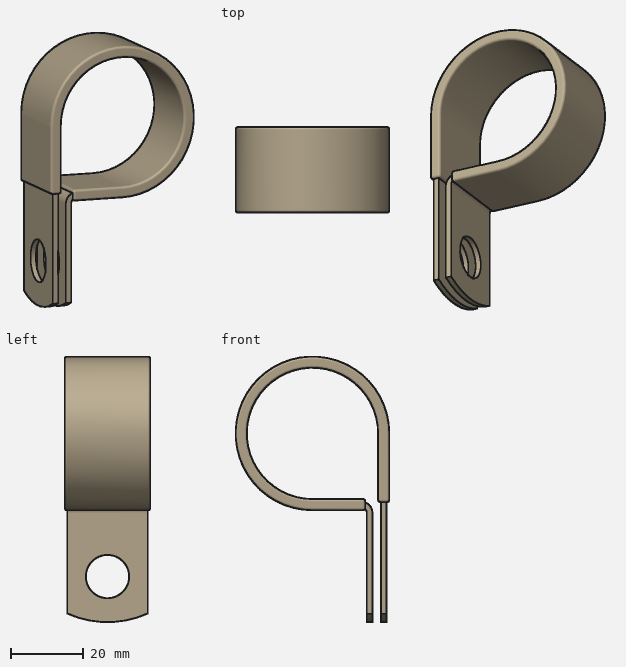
import cadquery as cq
import math

outer_diameter = 42.7
total_height = 73.75
cushion_width = 23.8
cushion_wall = 3.2
cushion_round = 0.75
cushion_side_end = 19.1
cushion_bottom_end = 14.7

strap_thickness = 1.6
strap_width = 22.4
bend_inner_radius = 1.5
leg_gap = 2.3

hole_diameter = 11.95
hole_height = 12.7
tip_rise = 2.4

outer_radius = outer_diameter / 2
inner_radius = outer_radius - cushion_wall
strap_outer_radius = outer_radius - (cushion_wall - strap_thickness) / 2
strap_inner_radius = strap_outer_radius - strap_thickness
bottom_z = outer_radius - total_height
leg_outer_x = strap_inner_radius - leg_gap
leg_inner_x = leg_outer_x - strap_thickness
bend_outer_radius = bend_inner_radius + strap_thickness
bend_x = leg_outer_x - bend_outer_radius
bend_z = -strap_outer_radius - bend_inner_radius


def on_circle(radius, degrees, center=(0, 0)):
    """Point on a circle in the XZ plane, with the angle measured from +X."""
    angle = math.radians(degrees)
    return center[0] + radius * math.cos(angle), center[1] + radius * math.sin(angle)


def end_face_edges(body, face_center):
    """Edges along Y of the flat end face centred at the given point."""
    return body.faces(cq.NearestToPointSelector(face_center)).edges("|Y")


def build_cushion():
    """Three-quarter ring with two straight ends, rounded on all its rims."""
    body = (
        cq.Workplane("XZ")
        .moveTo(outer_radius, -cushion_side_end)
        .lineTo(outer_radius, 0)
        .threePointArc(on_circle(outer_radius, 135), (0, -outer_radius))
        .lineTo(cushion_bottom_end, -outer_radius)
        .lineTo(cushion_bottom_end, -inner_radius)
        .lineTo(0, -inner_radius)
        .threePointArc(on_circle(inner_radius, 135), (inner_radius, 0))
        .lineTo(inner_radius, -cushion_side_end)
        .close()
        .extrude(cushion_width / 2, both=True)
    )
    side_rims = body.faces("<Y or >Y").edges()
    side_end = end_face_edges(body, ((outer_radius + inner_radius) / 2, 0, -cushion_side_end))
    bottom_end = end_face_edges(body, (cushion_bottom_end, 0, -(outer_radius + inner_radius) / 2))
    return side_rims.add(side_end).add(bottom_end).fillet(cushion_round)


def build_strap():
    """Metal band following the ring, bent down into two parallel legs."""
    bend_center = (bend_x, bend_z)
    return (
        cq.Workplane("XZ")
        .moveTo(strap_outer_radius, bottom_z)
        .lineTo(strap_outer_radius, 0)
        .threePointArc(on_circle(strap_outer_radius, 135), (0, -strap_outer_radius))
        .lineTo(bend_x, -strap_outer_radius)
        .threePointArc(on_circle(bend_inner_radius, 45, bend_center), (leg_inner_x, bend_z))
        .lineTo(leg_inner_x, bottom_z)
        .lineTo(leg_outer_x, bottom_z)
        .lineTo(leg_outer_x, bend_z)
        .threePointArc(on_circle(bend_outer_radius, 45, bend_center), (bend_x, -strap_inner_radius))
        .lineTo(0, -strap_inner_radius)
        .threePointArc(on_circle(strap_inner_radius, 135), (strap_inner_radius, 0))
        .lineTo(strap_inner_radius, bottom_z)
        .close()
        .extrude(strap_width / 2, both=True)
    )


def build_leg_outline():
    """Prism along X that gives both legs their rounded tips and bolt hole."""
    half_width = strap_width / 2
    tip_corner_z = bottom_z + tip_rise
    return (
        cq.Workplane("YZ")
        .moveTo(-half_width, outer_radius)
        .lineTo(-half_width, tip_corner_z)
        .threePointArc((0, bottom_z), (half_width, tip_corner_z))
        .lineTo(half_width, outer_radius)
        .close()
        .moveTo(0, bottom_z + hole_height)
        .circle(hole_diameter / 2)
        .extrude(outer_radius, both=True)
    )


strap = build_strap().intersect(build_leg_outline())
result = build_cushion().union(strap)